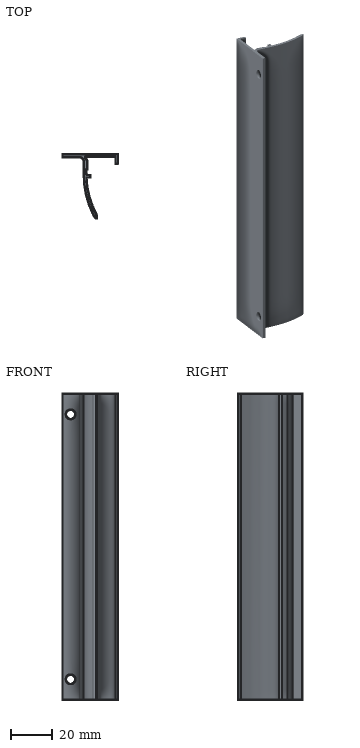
import cadquery as cq
import math

WIDTH = 27.05
DEPTH = 31.16
LENGTH = 148.4

FLANGE_THICKNESS = 1.5
WALL_THICKNESS = 1.3

LIP_THICKNESS = 1.3
LIP_DEPTH = 4.7
LIP_OUTER_ROUNDING = 0.5
LIP_INNER_ROUNDING = 0.3

CORNER_ROUNDING = 0.2

WEB_LEFT = 10.3
WEB_THICKNESS = 1.4
ROOT_FILLET = 2.0
ARC_START_DEPTH = 9.8
ARC_RADIUS = 43.0

PAD_HEIGHT = 0.4
PAD_TOP = 3.2
PAD_BOTTOM = 7.3
UNDERCUT = 0.7

TIP_ROUNDING_START = 29.0
TIP_ROUNDING_RADIUS = 6.0
TIP_RIGHT = 16.75
TIP_FLAT = 0.35

RIB_END = 13.6
RIB_TOP = 10.0
RIB_THICKNESS = 1.3
RIB_FILLET = 0.4

HOLE_DIAMETER = 4.5
HOLE_X = 4.0
HOLE_END_DISTANCE = 10.0

ARC_CENTRE_X = WEB_LEFT + ARC_RADIUS
INNER_RADIUS = ARC_RADIUS - WEB_THICKNESS
WEB_RIGHT = WEB_LEFT + WEB_THICKNESS


def arc_point(radius, depth):
    """Point of a web arc at a depth below the back face; both arcs share one centre."""
    rise = depth - ARC_START_DEPTH
    return (ARC_CENTRE_X - math.sqrt(radius**2 - rise**2), -depth)


def make_profile():
    lip_left = WIDTH - LIP_THICKNESS
    tip_run = ARC_CENTRE_X - TIP_RIGHT
    inner_end = ARC_START_DEPTH + math.sqrt(INNER_RADIUS**2 - tip_run**2)
    rib_bottom = RIB_TOP + RIB_THICKNESS
    return (
        cq.Workplane("XY", origin=(0, 0, -LENGTH / 2))
        .moveTo(CORNER_ROUNDING, 0)
        .lineTo(WIDTH - CORNER_ROUNDING, 0)
        .radiusArc((WIDTH, -CORNER_ROUNDING), CORNER_ROUNDING)
        .lineTo(WIDTH, -LIP_DEPTH + LIP_OUTER_ROUNDING)
        .radiusArc((WIDTH - LIP_OUTER_ROUNDING, -LIP_DEPTH), LIP_OUTER_ROUNDING)
        .lineTo(lip_left + LIP_INNER_ROUNDING, -LIP_DEPTH)
        .radiusArc((lip_left, -LIP_DEPTH + LIP_INNER_ROUNDING), LIP_INNER_ROUNDING)
        .lineTo(lip_left, -WALL_THICKNESS)
        .lineTo(WEB_RIGHT - UNDERCUT, -WALL_THICKNESS)
        .lineTo(WEB_RIGHT + PAD_HEIGHT, -PAD_TOP)
        .lineTo(WEB_RIGHT + PAD_HEIGHT, -PAD_BOTTOM)
        .lineTo(WEB_RIGHT, -PAD_BOTTOM)
        .lineTo(WEB_RIGHT, -RIB_TOP + RIB_FILLET)
        .radiusArc((WEB_RIGHT + RIB_FILLET, -RIB_TOP), -RIB_FILLET)
        .lineTo(RIB_END, -RIB_TOP)
        .lineTo(RIB_END, -rib_bottom)
        .lineTo(*arc_point(INNER_RADIUS, rib_bottom))
        .radiusArc((TIP_RIGHT, -inner_end), -INNER_RADIUS)
        .lineTo(TIP_RIGHT, -DEPTH)
        .lineTo(TIP_RIGHT - TIP_FLAT, -DEPTH)
        .radiusArc(arc_point(ARC_RADIUS, TIP_ROUNDING_START), TIP_ROUNDING_RADIUS)
        .radiusArc((WEB_LEFT, -ARC_START_DEPTH), ARC_RADIUS)
        .lineTo(WEB_LEFT, -FLANGE_THICKNESS - ROOT_FILLET)
        .radiusArc((WEB_LEFT - ROOT_FILLET, -FLANGE_THICKNESS), -ROOT_FILLET)
        .lineTo(CORNER_ROUNDING, -FLANGE_THICKNESS)
        .radiusArc((0, -FLANGE_THICKNESS + CORNER_ROUNDING), CORNER_ROUNDING)
        .lineTo(0, -CORNER_ROUNDING)
        .radiusArc((CORNER_ROUNDING, 0), CORNER_ROUNDING)
        .close()
        .extrude(LENGTH)
    )


def make_holes():
    hole_z = LENGTH / 2 - HOLE_END_DISTANCE
    return (
        cq.Workplane("XZ")
        .pushPoints([(HOLE_X, hole_z), (HOLE_X, -hole_z)])
        .circle(HOLE_DIAMETER / 2)
        .extrude(FLANGE_THICKNESS)
    )


result = make_profile().cut(make_holes())